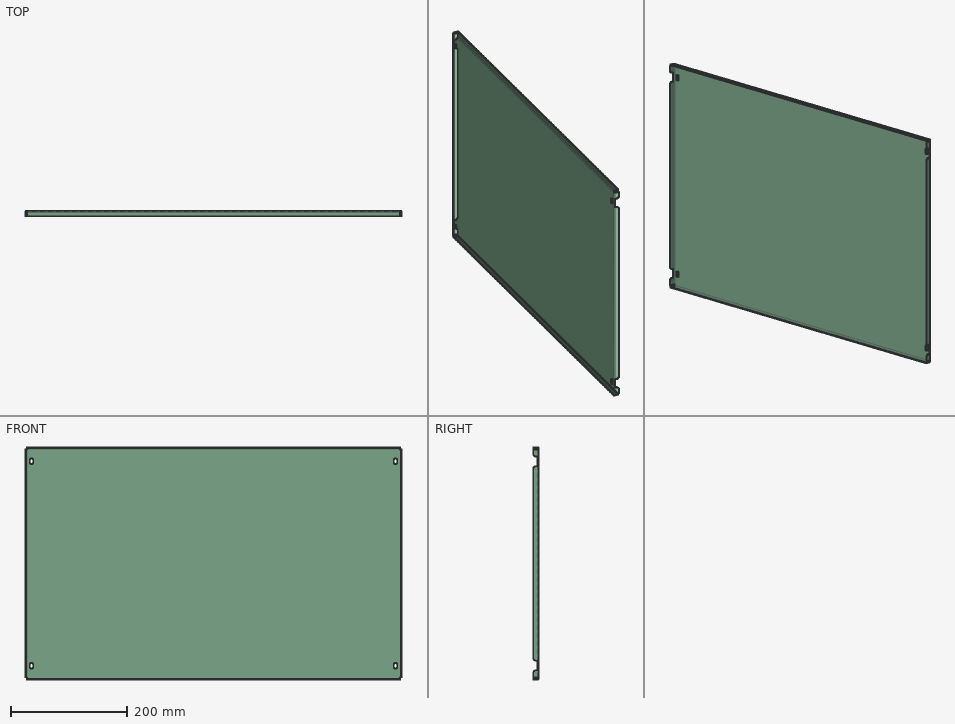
import cadquery as cq

width = 647.0
depth = 10.0
height = 400.0

sheet = 1.5
bend_radius = 2.45
inner_radius = bend_radius - sheet

relief_x = 2.25
relief_z = 4.0

notch_start = 16.0
notch_end = 32.5
notch_chamfer = 3.0
notch_length = notch_end - notch_start
notch_offset = height / 2 - (notch_start + notch_end) / 2
notch_depth = depth - bend_radius

slot_width = 6.0
slot_height = 10.0
slot_edge_x = 10.5
slot_edge_z = 24.0

front_y = -depth / 2
back_y = depth / 2


def tray():
    """Closed tray, open to -Y, with rounded bends around the back panel."""
    outside = cq.Workplane("XY").box(width, depth, height)
    outside = outside.faces(">Y").edges().fillet(bend_radius)
    inside = (
        cq.Workplane("XY")
        .box(width - 2 * sheet, depth, height - 2 * sheet)
        .translate((0, -sheet, 0))
        .faces(">Y").edges().fillet(inner_radius)
    )
    return outside.cut(inside)


def corner_reliefs():
    """Rectangular cut-outs through the full depth at the four corners."""
    return (
        cq.Workplane("XZ")
        .rect(width - relief_x, height - relief_z, forConstruction=True)
        .vertices()
        .rect(relief_x, relief_z)
        .extrude(depth, both=True)
    )


def side_notch(center_z):
    """Notch through both side flanges, flared by chamfers at the free edge."""
    half = notch_length / 2
    root_y = front_y + notch_depth
    chamfer_y = front_y + notch_chamfer
    flare = half + notch_chamfer
    return (
        cq.Workplane("YZ", origin=(-width / 2, 0, center_z))
        .moveTo(root_y, -half)
        .lineTo(chamfer_y, -half)
        .lineTo(front_y, -flare)
        .lineTo(front_y, flare)
        .lineTo(chamfer_y, half)
        .lineTo(root_y, half)
        .close()
        .extrude(width)
    )


def mounting_slots():
    """Four upright slots through the back panel."""
    return (
        cq.Workplane("XZ", origin=(0, back_y, 0))
        .rect(width - 2 * slot_edge_x, height - 2 * slot_edge_z, forConstruction=True)
        .vertices()
        .slot2D(slot_height, slot_width, 90)
        .extrude(depth)
    )


result = tray().cut(corner_reliefs()).cut(mounting_slots())
for side in (-1, 1):
    result = result.cut(side_notch(side * notch_offset))